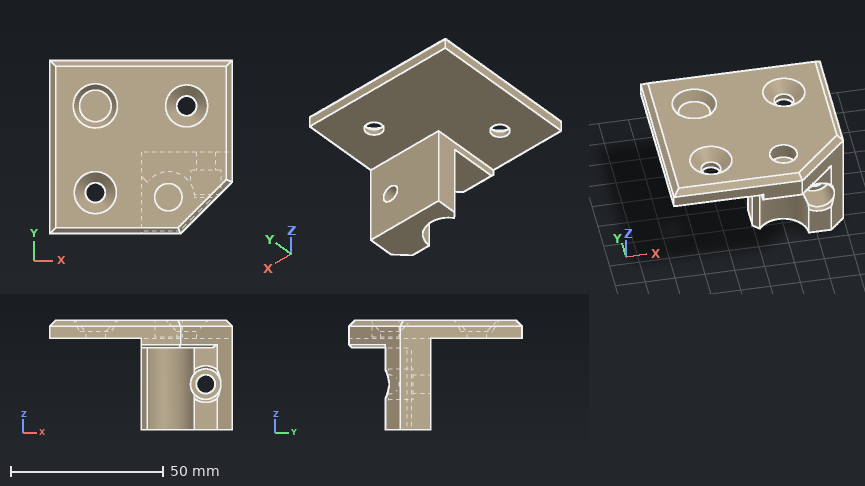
import cadquery as cq
import math

length = 60.0
width = 57.0
height = 36.0
plate_thickness = 6.0
corner_cut = 17.0
top_chamfer = 2.0

pad_thickness = 9.0
pad_chamfer = 1.0
block_left = length / 2
block_back = 27.0
leg_front = 12.0
leg_diagonal_x = length - corner_cut + leg_front
leg_back_corner = 19.0

pin_x = 39.0
pin_y = leg_front
pin_diameter = 9.0
pin_depth = 5.4
groove_radius = 8.5

left_hole_x = 15.0
right_hole_x = 45.0
front_hole_y = 13.5
back_hole_y = 42.0
screw_diameter = 6.4
screw_head_diameter = 13.8
head_angle = 90.0
recess_top_diameter = 14.5
recess_floor_diameter = 10.4
recess_depth = 3.6

groove_right = pin_x + groove_radius
cross_x = (groove_right + leg_diagonal_x) / 2
cross_z = 15.0
cross_diameter = 6.1
counterbore_diameter = 10.0
counterbore_depth = 9.0
counterbore_chamfer = 1.0


def cut_corner_slab(left, back, thickness):
    """Slab below the top face whose front right corner is cut at 45 degrees."""
    outline = [
        (left, 0),
        (length - corner_cut, 0),
        (length, corner_cut),
        (length, back),
        (left, back),
    ]
    return cq.Workplane("XY").workplane(offset=height - thickness).polyline(outline).close().extrude(thickness)


def make_plate():
    return cut_corner_slab(0, width, plate_thickness).faces(">Z").edges().chamfer(top_chamfer)


def make_pad():
    """Pad below the chamfered rim, bevelled along its front and diagonal lower edges."""
    pad = cut_corner_slab(block_left, block_back, pad_thickness)
    front_edge = cq.selectors.BoxSelector(
        (block_left, -0.6, height - pad_thickness - 0.6),
        (length - corner_cut, 0.6, height - pad_thickness + 0.6),
    )
    diagonal_edge = cq.selectors.BoxSelector(
        (length - corner_cut, 0.6, height - pad_thickness - 0.6),
        (length - 0.6, corner_cut - 0.6, height - pad_thickness + 0.6),
    )
    pad = pad.edges(front_edge + diagonal_edge).chamfer(pad_chamfer)
    rim = cq.Workplane("XY").box(length, width, height - top_chamfer, centered=False)
    return pad.intersect(rim)


def make_leg():
    """Leg with a concave groove that meets a 45 degree bevel on the left."""
    bevel_sum = block_left + leg_back_corner - pin_x - pin_y
    bevel_run = math.sqrt(2 * groove_radius**2 - bevel_sum**2)
    bevel_end = (pin_x + (bevel_sum - bevel_run) / 2, pin_y + (bevel_sum + bevel_run) / 2)
    groove_top = (pin_x, pin_y + groove_radius)
    return (
        cq.Workplane("XY")
        .moveTo(block_left, block_back)
        .lineTo(block_left, leg_back_corner)
        .lineTo(*bevel_end)
        .threePointArc(groove_top, (groove_right, leg_front))
        .lineTo(leg_diagonal_x, leg_front)
        .lineTo(length, corner_cut)
        .lineTo(length, block_back)
        .close()
        .extrude(height - plate_thickness)
    )


def cut_plate_holes(body):
    top = cq.Workplane("XY").workplane(offset=height)
    body = body.cut(top.center(pin_x, pin_y).circle(pin_diameter / 2).extrude(-pin_depth))
    recess = (
        top.center(left_hole_x, back_hole_y)
        .circle(recess_top_diameter / 2)
        .workplane(offset=-recess_depth)
        .circle(recess_floor_diameter / 2)
        .loft()
    )
    body = body.cut(recess)
    screws = [(left_hole_x, front_hole_y), (right_hole_x, back_hole_y)]
    return (
        body.faces(">Z")
        .workplane(origin=(0, 0, height))
        .pushPoints(screws)
        .cskHole(screw_diameter, screw_head_diameter, head_angle)
    )


def cut_cross_hole(body):
    """Stepped bore with a conical mouth, revolved about its own axis."""
    bore = cross_diameter / 2
    counterbore = counterbore_diameter / 2
    counterbore_end = leg_front + counterbore_depth
    profile = [
        (0, 0),
        (counterbore + counterbore_chamfer, 0),
        (counterbore + counterbore_chamfer, leg_front),
        (counterbore, leg_front + counterbore_chamfer),
        (counterbore, counterbore_end),
        (bore, counterbore_end),
        (bore, block_back),
        (0, block_back),
    ]
    cutter = cq.Workplane("XY").polyline(profile).close().revolve(360, (0, 0, 0), (0, 1, 0))
    return body.cut(cutter.translate((cross_x, 0, cross_z)))


body = make_plate().union(make_pad()).union(make_leg())
result = cut_cross_hole(cut_plate_holes(body))